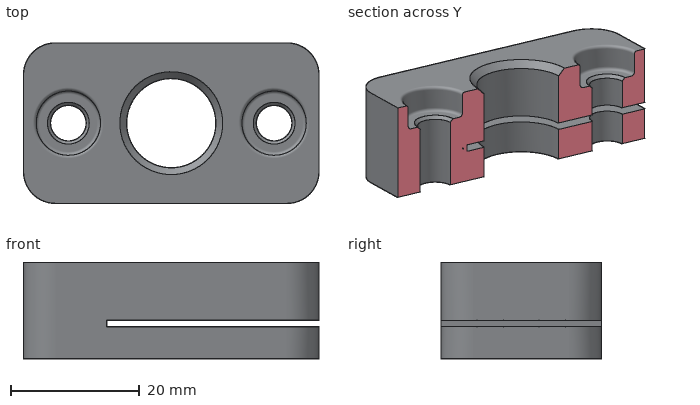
import cadquery as cq

LENGTH = 46.0
WIDTH = 25.0
HEIGHT = 15.0
CORNER_RADIUS = 5.0

BORE_DIAMETER = 13.84
BORE_MOUTH_DIAMETER = 16.0
BORE_CHAMFER = (BORE_MOUTH_DIAMETER - BORE_DIAMETER) / 2

SCREW_SPACING = 32.0
SCREW_DIAMETER = 5.5
HEAD_DIAMETER = 10.0
HEAD_DEPTH = 4.0
HEAD_EDGE = 0.5

SLOT_START_X = -10.0
SLOT_BOTTOM = 5.0
SLOT_HEIGHT = 1.0


def make_block():
    block = cq.Workplane("XY").box(LENGTH, WIDTH, HEIGHT, centered=(True, True, False))
    return block.edges("|Z").fillet(CORNER_RADIUS)


def make_bore_cutter():
    """Half-section of the bore, revolved about the Z axis."""
    radius = BORE_DIAMETER / 2
    return (
        cq.Workplane("XZ")
        .moveTo(0, 0)
        .lineTo(radius, 0)
        .lineTo(radius, HEIGHT - BORE_CHAMFER)
        .lineTo(BORE_MOUTH_DIAMETER / 2, HEIGHT)
        .lineTo(0, HEIGHT)
        .close()
        .revolve(360, (0, 0), (0, 1))
    )


def make_screw_cutter(x):
    """Half-section of one counterbored hole, revolved and moved to x."""
    screw_radius = SCREW_DIAMETER / 2
    head_radius = HEAD_DIAMETER / 2
    floor_z = HEIGHT - HEAD_DEPTH
    cutter = (
        cq.Workplane("XZ")
        .moveTo(0, 0)
        .lineTo(screw_radius, 0)
        .lineTo(screw_radius, floor_z - HEAD_EDGE)
        .lineTo(screw_radius + HEAD_EDGE, floor_z)
        .lineTo(head_radius - HEAD_EDGE, floor_z)
        .radiusArc((head_radius, floor_z + HEAD_EDGE), -HEAD_EDGE)
        .lineTo(head_radius, HEIGHT - HEAD_EDGE)
        .radiusArc((head_radius + HEAD_EDGE, HEIGHT), HEAD_EDGE)
        .lineTo(0, HEIGHT)
        .close()
        .revolve(360, (0, 0), (0, 1))
    )
    return cutter.translate((x, 0, 0))


def make_slot_cutter():
    slot_length = LENGTH / 2 - SLOT_START_X
    slot = cq.Workplane("XY").box(slot_length, WIDTH, SLOT_HEIGHT, centered=(False, True, False))
    return slot.translate((SLOT_START_X, 0, SLOT_BOTTOM))


result = make_block().cut(make_bore_cutter())
for screw_x in (-SCREW_SPACING / 2, SCREW_SPACING / 2):
    result = result.cut(make_screw_cutter(screw_x))
result = result.cut(make_slot_cutter())